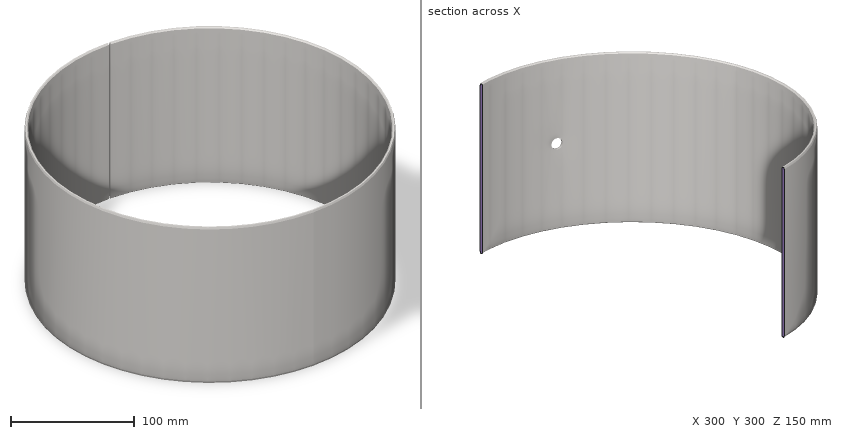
import cadquery as cq

outer_diameter = 300.0
height = 150.0
wall = 2.7
outer_bevel_width = 0.5
outer_bevel_height = 1.8
inner_bevel = 1.0
slit_width = 2.0
slit_offset = 1.5
hole_diameter = 10.0
hole_angle = 59.0

outer_radius = outer_diameter / 2
inner_radius = outer_radius - wall
half_height = height / 2


def make_band():
    """Thin ring centred on the origin, revolved from its bevelled wall section."""
    rim_inner = inner_radius + inner_bevel
    rim_outer = outer_radius - outer_bevel_width
    inner_top = half_height - inner_bevel
    outer_top = half_height - outer_bevel_height
    section = [
        (inner_radius, -inner_top),
        (rim_inner, -half_height),
        (rim_outer, -half_height),
        (outer_radius, -outer_top),
        (outer_radius, outer_top),
        (rim_outer, half_height),
        (rim_inner, half_height),
        (inner_radius, inner_top),
    ]
    return cq.Workplane("XZ").polyline(section).close().revolve(360, (0, 0, 0), (0, 1, 0))


def make_slit():
    """Full-height cutter that opens the ring on its -X side."""
    slit_length = 4 * wall
    slit = cq.Workplane("XY").box(slit_length, slit_width, height)
    return slit.translate((-outer_radius, slit_offset, 0))


def make_hole():
    """Radial cutter that pierces one side of the ring at mid-height."""
    cutter = cq.Workplane("YZ").circle(hole_diameter / 2).extrude(outer_diameter)
    return cutter.rotate((0, 0, 0), (0, 0, 1), hole_angle)


result = make_band().cut(make_slit()).cut(make_hole())